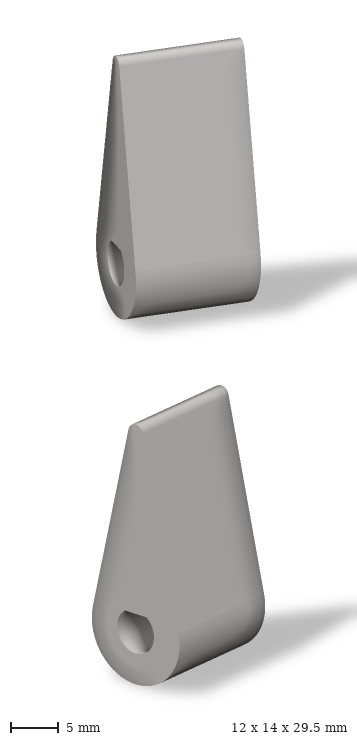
import cadquery as cq
import math

hub_radius = 6.0
tip_radius = 1.0
overall_height = 29.5
thickness = 14.0
bore_radius = 2.5
flat_height = 2.0

tip_center_z = overall_height - hub_radius - tip_radius
flank_angle = math.asin((hub_radius - tip_radius) / tip_center_z)


def tangent_point(radius, center_z):
    """Point on the +X side where the flank touches an arc."""
    return radius * math.cos(flank_angle), center_z + radius * math.sin(flank_angle)


def make_body():
    """Teardrop prism centred on Y = 0."""
    hub_x, hub_z = tangent_point(hub_radius, 0)
    tip_x, tip_z = tangent_point(tip_radius, tip_center_z)
    return (
        cq.Workplane("XZ")
        .moveTo(hub_x, hub_z)
        .lineTo(tip_x, tip_z)
        .threePointArc((0, tip_center_z + tip_radius), (-tip_x, tip_z))
        .lineTo(-hub_x, hub_z)
        .threePointArc((0, -hub_radius), (hub_x, hub_z))
        .close()
        .extrude(thickness / 2, both=True)
    )


def make_bore():
    """D-shaped shaft bore, flat on the side facing the tip."""
    flat_half_width = math.sqrt(bore_radius**2 - flat_height**2)
    return (
        cq.Workplane("XZ")
        .moveTo(flat_half_width, flat_height)
        .lineTo(-flat_half_width, flat_height)
        .threePointArc((0, -bore_radius), (flat_half_width, flat_height))
        .close()
        .extrude(thickness / 2, both=True)
    )


result = make_body().cut(make_bore())